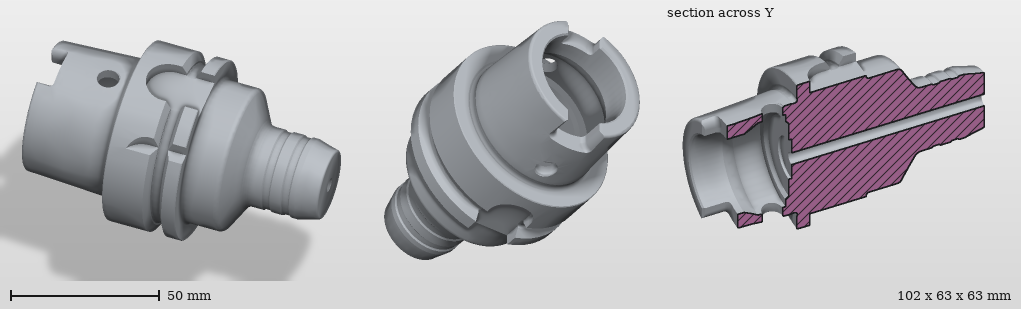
import cadquery as cq
import math


EDGE_TOLERANCE = 0.01

SHANK_LENGTH = 32.0
SHANK_LARGE_DIAMETER = 48.4
SHANK_RELIEF_DIAMETER = 48.04
TAPER_RATIO = 10.0
SHANK_TAPER_END = -2.2
SHANK_RELIEF_START = -1.4
SHANK_EDGE_ROUND = 1.0
FLANGE_ROOT_ROUND = 1.0
FLANGE_RELIEF_DIAMETER = 51.4
FLANGE_RELIEF_DEPTH = 0.15

FLANGE_DIAMETER = 63.0
FLANGE_WIDTH = 26.0
FLANGE_EDGE_CHAMFER = 0.3
GROOVE_CENTRE = 17.85
GROOVE_FLOOR_DIAMETER = 55.0
GROOVE_FLOOR_WIDTH = 3.4
GROOVE_WALL_STEP = 1.1
GROOVE_HALF_ANGLE = 30.0
GROOVE_FLOOR_ROUND = 0.5

NECK_DIAMETER = 50.0
NECK_ROOT_ROUND = 1.0
CONE_START = 38.5
CONE_ANGLE = 60.0
CONE_OUTER_ROUND = 2.0
CONE_ROOT_ROUND = 3.0

NOSE_END = 70.0
NOSE_DIAMETER = 28.0
NOSE_TAPER_START = 62.5
NOSE_TAPER_ANGLE = 15.0
NOSE_END_ROUND = 0.8
NOSE_GROOVE_DIAMETER = 27.0
NOSE_GROOVE_WIDTH = 3.2
NOSE_GROOVE_CENTRES = (52.0, 58.9)

BORE_DIAMETER = 34.0
BORE_MOUTH_CHAMFER = 0.6
BORE_LAND_END = -19.6
UNDERCUT_DIAMETER = 40.0
UNDERCUT_CONE_ANGLE = 30.0
BORE_END = -3.0
BORE_FLOOR_CHAMFER = 1.2
FLOOR_RECESS_DIAMETER = 16.92
FLOOR_RECESS_DEPTH = 1.0
COOLANT_DIAMETER = 4.92

CROSS_HOLE_X = -9.1
CROSS_HOLE_DIAMETER = 7.5
CROSS_HOLE_CHAMFER = 0.4

DRIVE_SLOT_WIDTH = 12.54
TOP_SLOT_DEPTH = 6.0
BOTTOM_SLOT_DEPTH = 10.0
DRIVE_SLOT_FLOOR_ROUND = 1.5
DRIVE_SLOT_LIP_ROUND = 3.5
DRIVE_SLOT_EDGE_CHAMFER = 0.8
DRIVE_SLOT_LIP_START = 18.2

KEYWAY_WIDTH = 16.0
KEYWAY_ROUND_CENTRE_X = 12.9
KEYWAY_FLOOR = 26.5
NOTCH_FLOOR = 20.3
NOTCH_CENTRE_Y = -28.0


def revolve_profile(profile):
    """Turn an outline drawn in the XY plane about the X axis."""
    return profile.close().revolve(360, (0, 0, 0), (1, 0, 0))


def round_corner(body, x, radius, size):
    """Round the full circular edge of the given radius that lies at the given X."""
    def is_corner(edge):
        return abs(edge.Center().x - x) < EDGE_TOLERANCE and abs(edge.radius() - radius) < EDGE_TOLERANCE

    return body.edges("%CIRCLE").filter(is_corner).fillet(size)


def make_body():
    taper_radius = SHANK_LARGE_DIAMETER / 2
    shank_end_radius = taper_radius - (SHANK_LENGTH + SHANK_TAPER_END) / (2 * TAPER_RATIO)
    relief_radius = SHANK_RELIEF_DIAMETER / 2
    flange_radius = FLANGE_DIAMETER / 2
    neck_radius = NECK_DIAMETER / 2
    nose_radius = NOSE_DIAMETER / 2
    cone_end = CONE_START + (neck_radius - nose_radius) / math.tan(math.radians(CONE_ANGLE))
    taper_drop = (NOSE_END - NOSE_TAPER_START) * math.tan(math.radians(NOSE_TAPER_ANGLE))
    profile = (
        cq.Workplane("XY")
        .moveTo(-SHANK_LENGTH, 0)
        .lineTo(-SHANK_LENGTH, shank_end_radius)
        .lineTo(SHANK_TAPER_END, taper_radius)
        .lineTo(SHANK_RELIEF_START, relief_radius)
        .lineTo(FLANGE_RELIEF_DEPTH - FLANGE_ROOT_ROUND, relief_radius)
        .radiusArc((FLANGE_RELIEF_DEPTH, relief_radius + FLANGE_ROOT_ROUND), -FLANGE_ROOT_ROUND)
        .lineTo(0, FLANGE_RELIEF_DIAMETER / 2)
        .lineTo(0, flange_radius - FLANGE_EDGE_CHAMFER)
        .lineTo(FLANGE_EDGE_CHAMFER, flange_radius)
        .lineTo(FLANGE_WIDTH - FLANGE_EDGE_CHAMFER, flange_radius)
        .lineTo(FLANGE_WIDTH, flange_radius - FLANGE_EDGE_CHAMFER)
        .lineTo(FLANGE_WIDTH, neck_radius)
        .lineTo(CONE_START, neck_radius)
        .lineTo(cone_end, nose_radius)
        .lineTo(NOSE_TAPER_START, nose_radius)
        .lineTo(NOSE_END, nose_radius - taper_drop)
        .lineTo(NOSE_END, 0)
    )
    body = revolve_profile(profile)
    rounds = (
        (-SHANK_LENGTH, shank_end_radius, SHANK_EDGE_ROUND),
        (FLANGE_WIDTH, neck_radius, NECK_ROOT_ROUND),
        (CONE_START, neck_radius, CONE_OUTER_ROUND),
        (cone_end, nose_radius, CONE_ROOT_ROUND),
        (NOSE_END, nose_radius - taper_drop, NOSE_END_ROUND),
    )
    for x, radius, size in rounds:
        body = round_corner(body, x, radius, size)
    return body


def flange_groove():
    mouth_radius = FLANGE_DIAMETER / 2
    floor_radius = GROOVE_FLOOR_DIAMETER / 2
    half_floor = GROOVE_FLOOR_WIDTH / 2
    wall_top_radius = floor_radius + GROOVE_WALL_STEP
    half_mouth = half_floor + (mouth_radius - wall_top_radius) * math.tan(math.radians(GROOVE_HALF_ANGLE))
    profile = (
        cq.Workplane("XY")
        .moveTo(GROOVE_CENTRE - half_floor + GROOVE_FLOOR_ROUND, floor_radius)
        .lineTo(GROOVE_CENTRE + half_floor - GROOVE_FLOOR_ROUND, floor_radius)
        .radiusArc((GROOVE_CENTRE + half_floor, floor_radius + GROOVE_FLOOR_ROUND), -GROOVE_FLOOR_ROUND)
        .lineTo(GROOVE_CENTRE + half_floor, wall_top_radius)
        .lineTo(GROOVE_CENTRE + half_mouth, mouth_radius)
        .lineTo(GROOVE_CENTRE - half_mouth, mouth_radius)
        .lineTo(GROOVE_CENTRE - half_floor, wall_top_radius)
        .lineTo(GROOVE_CENTRE - half_floor, floor_radius + GROOVE_FLOOR_ROUND)
        .radiusArc((GROOVE_CENTRE - half_floor + GROOVE_FLOOR_ROUND, floor_radius), -GROOVE_FLOOR_ROUND)
    )
    return revolve_profile(profile)


def nose_groove(centre):
    mouth_radius = NOSE_DIAMETER / 2
    floor_radius = NOSE_GROOVE_DIAMETER / 2
    half_mouth = NOSE_GROOVE_WIDTH / 2
    half_floor = half_mouth - (mouth_radius - floor_radius)
    profile = (
        cq.Workplane("XY")
        .moveTo(centre - half_floor, floor_radius)
        .lineTo(centre + half_floor, floor_radius)
        .lineTo(centre + half_mouth, mouth_radius)
        .lineTo(centre - half_mouth, mouth_radius)
    )
    return revolve_profile(profile)


def bore():
    """Bore with a clamping undercut behind its land, a stepped floor and a coolant passage."""
    radius = BORE_DIAMETER / 2
    undercut_radius = UNDERCUT_DIAMETER / 2
    undercut_start = BORE_LAND_END + (undercut_radius - radius) / math.tan(math.radians(UNDERCUT_CONE_ANGLE))
    recess_radius = FLOOR_RECESS_DIAMETER / 2
    coolant_radius = COOLANT_DIAMETER / 2
    profile = (
        cq.Workplane("XY")
        .moveTo(-SHANK_LENGTH, 0)
        .lineTo(-SHANK_LENGTH, radius + BORE_MOUTH_CHAMFER)
        .lineTo(-SHANK_LENGTH + BORE_MOUTH_CHAMFER, radius)
        .lineTo(BORE_LAND_END, radius)
        .lineTo(undercut_start, undercut_radius)
        .lineTo(BORE_END - BORE_FLOOR_CHAMFER, undercut_radius)
        .lineTo(BORE_END - BORE_FLOOR_CHAMFER, radius)
        .lineTo(BORE_END, radius - BORE_FLOOR_CHAMFER)
        .lineTo(BORE_END, recess_radius)
        .lineTo(BORE_END + FLOOR_RECESS_DEPTH, recess_radius)
        .lineTo(BORE_END + FLOOR_RECESS_DEPTH, coolant_radius)
        .lineTo(NOSE_END, coolant_radius)
        .lineTo(NOSE_END, 0)
    )
    return revolve_profile(profile)


def drive_slot(depth):
    """Slot cutter for the upper shank wall, flared by a round lip at the outside."""
    half_width = DRIVE_SLOT_WIDTH / 2
    lip_half_width = half_width + DRIVE_SLOT_LIP_ROUND
    lip_top = DRIVE_SLOT_LIP_START + DRIVE_SLOT_LIP_ROUND
    outer_limit = SHANK_LARGE_DIAMETER / 2
    cutter = (
        cq.Workplane("YZ", origin=(-SHANK_LENGTH, 0, 0))
        .moveTo(-half_width, 0)
        .lineTo(half_width, 0)
        .lineTo(half_width, DRIVE_SLOT_LIP_START)
        .radiusArc((lip_half_width, lip_top), DRIVE_SLOT_LIP_ROUND)
        .lineTo(lip_half_width, outer_limit)
        .lineTo(-lip_half_width, outer_limit)
        .lineTo(-lip_half_width, lip_top)
        .radiusArc((-half_width, DRIVE_SLOT_LIP_START), DRIVE_SLOT_LIP_ROUND)
        .close()
        .extrude(depth)
    )
    cutter = cutter.faces(">X").edges("not(|Y)").fillet(DRIVE_SLOT_FLOOR_ROUND)
    mouth_half_width = half_width + DRIVE_SLOT_EDGE_CHAMFER
    mouth = (
        cq.Workplane("XY")
        .moveTo(-SHANK_LENGTH, -mouth_half_width)
        .lineTo(-SHANK_LENGTH, mouth_half_width)
        .lineTo(-SHANK_LENGTH + DRIVE_SLOT_EDGE_CHAMFER, half_width)
        .lineTo(-SHANK_LENGTH + DRIVE_SLOT_EDGE_CHAMFER, -half_width)
        .close()
        .extrude(outer_limit)
    )
    return cutter.union(mouth)


def cross_hole():
    """Hole along Z through both shank walls, chamfered where it meets the taper."""
    radius = CROSS_HOLE_DIAMETER / 2
    wall_radius = SHANK_LARGE_DIAMETER / 2 + (CROSS_HOLE_X - SHANK_TAPER_END) / (2 * TAPER_RATIO)
    chamfer_start = wall_radius - CROSS_HOLE_CHAMFER
    outer_limit = FLANGE_DIAMETER / 2
    profile = (
        cq.Workplane("XZ", origin=(CROSS_HOLE_X, 0, 0))
        .lineTo(radius, 0)
        .lineTo(radius, chamfer_start)
        .lineTo(radius + CROSS_HOLE_CHAMFER, wall_radius)
        .lineTo(radius + CROSS_HOLE_CHAMFER, outer_limit)
        .lineTo(0, outer_limit)
        .close()
    )
    upper_half = profile.revolve(360, (0, 0, 0), (0, 1, 0))
    return upper_half.union(upper_half.mirror("XY"))


def keyway(centre_y, floor):
    """Round-ended cutter above a flat floor, open toward the neck."""
    length = FLANGE_WIDTH - KEYWAY_ROUND_CENTRE_X
    height = FLANGE_DIAMETER / 2 - floor
    base = cq.Workplane("XY", origin=(KEYWAY_ROUND_CENTRE_X, centre_y, floor))
    round_end = base.circle(KEYWAY_WIDTH / 2).extrude(height)
    straight = base.box(length, KEYWAY_WIDTH, height, centered=(False, True, False))
    return round_end.union(straight)


result = make_body().cut(flange_groove())
for groove_centre in NOSE_GROOVE_CENTRES:
    result = result.cut(nose_groove(groove_centre))
result = result.cut(bore()).cut(cross_hole())
result = result.cut(drive_slot(TOP_SLOT_DEPTH))
result = result.cut(drive_slot(BOTTOM_SLOT_DEPTH).rotate((0, 0, 0), (1, 0, 0), 180))
upper_keyway = keyway(0, KEYWAY_FLOOR)
result = result.cut(upper_keyway)
result = result.cut(upper_keyway.rotate((0, 0, 0), (1, 0, 0), 180))
result = result.cut(keyway(NOTCH_CENTRE_Y, NOTCH_FLOOR))